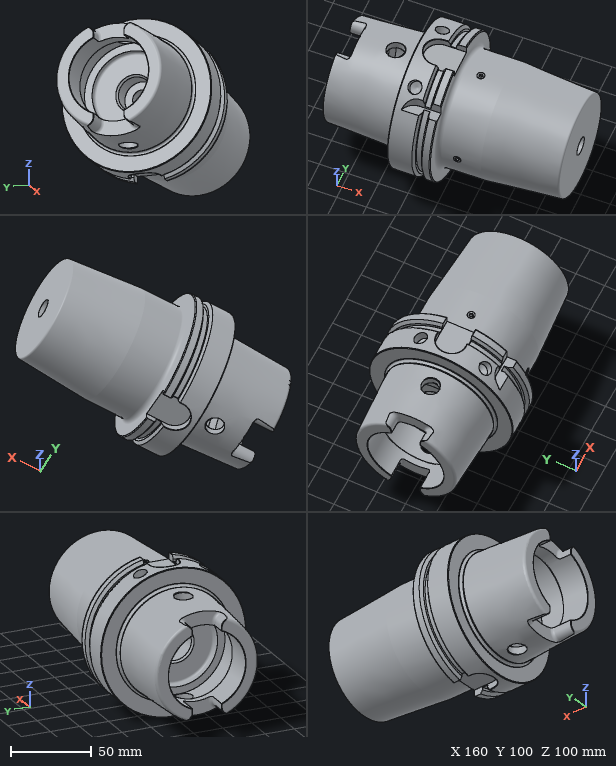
import cadquery as cq
import math

length = 160.0
shank_end_round = 2.0
relief_start = 47.7
relief_end = 49.3
flange_front = 50.0
groove_start = 68.0
groove_end = 72.0
flange_back = 78.9
taper_start = 109.0

shank_tip_radius = 35.2
shank_root_radius = 75.4 / 2
flange_radius = 100.0 / 2
groove_radius = 46.0
body_radius = 78.0 / 2
nose_tip_radius = 35.0

relief_depth = 0.24
face_recess_radius = 39.4
face_recess_depth = 0.5
face_recess_round = flange_front + face_recess_depth - relief_end
flange_front_chamfer = 0.5
flange_back_chamfer = 0.6
groove_flank_length = 1.5
groove_flank_depth = 2.4
body_round = 3.5
nose_end_round = 1.3

bore_radius = 53.0 / 2
undercut_radius = 63.0 / 2
undercut_start = 19.8
undercut_end = 41.6
undercut_angle = 60.0
bore_depth = 46.4
bore_floor_round = 1.6
tube_hole_diameter = 22.4
tube_hole_mouth_diameter = 25.0
tube_hole_depth = 12.8
through_hole_diameter = 12.0

drive_slot_width = 20.0
drive_slot_depths = {"top": 10.0, "bottom": 15.0}
drive_slot_inner_height = 16.0
drive_slot_corner_radius = 5.0
drive_slot_corner_height = 27.2
drive_slot_flare_half_width = 19.2
drive_slot_floor_round = 2.0
shank_end_chamfer = 0.3

cross_hole_x = 35.2
cross_hole_diameter = 12.0
cross_hole_chamfer = 0.4

keyway_width = 20.0
keyway_end_x = 54.4
keyway_floor = 44.0
notch_inner_y = -31.7
notch_floor = 31.7
keyway_rim_chamfer = 0.3

rim_hole_x = 59.0
rim_hole_diameter = 9.0
rim_hole_floor_radius = 44.3
rim_hole_angles = (-22.0, 32.0)
drill_point_angle = 118.0

screw_x = 92.6
screw_diameter = 5.0
screw_recess = 0.2
screw_socket_across_corners = 2.7
screw_socket_depth = 1.6
screw_angles = (0.0, 90.0)

outside = 2 * flange_radius


def turned_outside():
    """Shank, gripper flange and tapered nose as one revolved outline."""
    recess_floor = flange_front + face_recess_depth
    flank_radius = flange_radius - groove_flank_depth
    outline = (
        cq.Workplane("XY")
        .lineTo(0, shank_tip_radius)
        .lineTo(relief_start, shank_root_radius)
        .lineTo((relief_start + relief_end) / 2, shank_root_radius - relief_depth)
        .lineTo(relief_end, shank_root_radius)
        .radiusArc((recess_floor, shank_root_radius + face_recess_round), -face_recess_round)
        .lineTo(recess_floor, face_recess_radius)
        .lineTo(flange_front, face_recess_radius)
        .lineTo(flange_front, flange_radius - flange_front_chamfer)
        .lineTo(flange_front + flange_front_chamfer, flange_radius)
        .lineTo(groove_start - groove_flank_length, flange_radius)
        .lineTo(groove_start, flank_radius)
        .lineTo(groove_start, groove_radius)
        .lineTo(groove_end, groove_radius)
        .lineTo(groove_end, flank_radius)
        .lineTo(groove_end + groove_flank_length, flange_radius)
        .lineTo(flange_back - flange_back_chamfer, flange_radius)
        .lineTo(flange_back, flange_radius - flange_back_chamfer)
        .lineTo(flange_back, body_radius + body_round)
        .radiusArc((flange_back + body_round, body_radius), -body_round)
        .lineTo(taper_start, body_radius)
        .lineTo(length, nose_tip_radius)
        .lineTo(length, 0)
        .close()
    )
    body = outline.revolve(360, (0, 0, 0), (1, 0, 0))
    body = body.faces("<X").edges().fillet(shank_end_round)
    return body.faces(">X").edges().fillet(nose_end_round)


def turned_bore():
    """Hollow of the shank with its clamping undercut, tube hole and through hole."""
    cone_length = (undercut_radius - bore_radius) / math.tan(math.radians(undercut_angle))
    tube_radius = tube_hole_diameter / 2
    mouth_radius = tube_hole_mouth_diameter / 2
    hole_radius = through_hole_diameter / 2
    tube_floor = bore_depth + tube_hole_depth
    outline = (
        cq.Workplane("XY")
        .lineTo(0, bore_radius + shank_end_chamfer)
        .lineTo(shank_end_chamfer, bore_radius)
        .lineTo(undercut_start, bore_radius)
        .lineTo(undercut_start + cone_length, undercut_radius)
        .lineTo(undercut_end, undercut_radius)
        .lineTo(undercut_end, bore_radius)
        .lineTo(bore_depth - bore_floor_round, bore_radius)
        .radiusArc((bore_depth, bore_radius - bore_floor_round), bore_floor_round)
        .lineTo(bore_depth, mouth_radius)
        .lineTo(bore_depth + mouth_radius - tube_radius, tube_radius)
        .lineTo(tube_floor, tube_radius)
        .lineTo(tube_floor, hole_radius)
        .lineTo(length, hole_radius)
        .lineTo(length, 0)
        .close()
    )
    return outline.revolve(360, (0, 0, 0), (1, 0, 0))


def drive_slot(depth):
    """Slot cut into the +Z side of the shank end, with rounded key corners and floor edge."""
    half_width = drive_slot_width / 2
    round_end_y = half_width + drive_slot_corner_radius
    round_end_z = drive_slot_corner_height + drive_slot_corner_radius
    profile = (
        cq.Workplane("YZ")
        .moveTo(-half_width, drive_slot_inner_height)
        .lineTo(half_width, drive_slot_inner_height)
        .lineTo(half_width, drive_slot_corner_height)
        .radiusArc((round_end_y, round_end_z), drive_slot_corner_radius)
        .lineTo(drive_slot_flare_half_width, round_end_z)
        .lineTo(drive_slot_flare_half_width, flange_radius)
        .lineTo(-drive_slot_flare_half_width, flange_radius)
        .lineTo(-drive_slot_flare_half_width, round_end_z)
        .lineTo(-round_end_y, round_end_z)
        .radiusArc((-half_width, drive_slot_corner_height), drive_slot_corner_radius)
        .close()
    )
    slot = profile.extrude(depth).faces(">X").edges().fillet(drive_slot_floor_round)
    mouth = profile.toPending().offset2D(shank_end_chamfer).extrude(shank_end_chamfer, taper=45)
    return slot.union(mouth)


def cross_hole():
    """Hole along Z through both shank walls, with its rims broken."""
    hole = cq.Workplane("XY").center(cross_hole_x, 0).circle(cross_hole_diameter / 2)
    hole = hole.extrude(outside, both=True)
    rim_z = shank_tip_radius + (shank_root_radius - shank_tip_radius) * cross_hole_x / relief_start
    rim_radius = cross_hole_diameter / 2 + cross_hole_chamfer
    cone_height = rim_radius
    for direction in (1, -1):
        cone = cq.Solid.makeCone(
            rim_radius, 0, cone_height,
            pnt=cq.Vector(cross_hole_x, 0, direction * rim_z),
            dir=cq.Vector(0, 0, -direction),
        )
        hole = hole.union(cq.Workplane(cone))
    return hole


def keyway(center_y, floor):
    """Round-ended slot along X, open at the back of the flange and above its floor."""
    radius = keyway_width / 2
    straight = flange_back - keyway_end_x - radius
    slot = (
        cq.Workplane("XY", origin=(keyway_end_x + radius, center_y, floor))
        .moveTo(0, -radius)
        .lineTo(straight, -radius)
        .lineTo(straight, radius)
        .lineTo(0, radius)
        .threePointArc((-radius, 0), (0, -radius))
        .close()
    )
    return slot.extrude(outside)


def keyed(body):
    """Body with the keyway milled into its +Z side and the rim of the keyway broken."""
    body = body.cut(keyway(0, keyway_floor))
    half_width = keyway_width / 2
    rim_zone = cq.selectors.BoxSelector(
        (keyway_end_x, -half_width, groove_radius),
        (flange_back - flange_back_chamfer, half_width, flange_radius),
        boundingbox=False,
    )
    on_rim = math.sqrt(flange_radius**2 - half_width**2)
    rim = [edge for edge in body.edges(rim_zone).vals() if edge.BoundingBox().zmin > on_rim - 0.02]
    return body.newObject(rim).chamfer(keyway_rim_chamfer)


def rim_hole(angle):
    """Drilled hole with a conical bottom, pointing at the axis."""
    radius = rim_hole_diameter / 2
    point_height = radius / math.tan(math.radians(drill_point_angle / 2))
    outline = (
        cq.Workplane("XZ", origin=(rim_hole_x, 0, 0))
        .moveTo(0, rim_hole_floor_radius - point_height)
        .lineTo(radius, rim_hole_floor_radius)
        .lineTo(radius, outside)
        .lineTo(0, outside)
        .close()
    )
    hole = outline.revolve(360, (0, 0, 0), (0, 1, 0))
    return hole.rotate((0, 0, 0), (1, 0, 0), angle)


def screw_recess_cut(angle):
    """Shallow round recess with a hexagon socket in its floor."""
    recess = cq.Workplane("XY", origin=(screw_x, 0, body_radius - screw_recess))
    socket = recess.polygon(6, screw_socket_across_corners).extrude(-screw_socket_depth)
    cut = recess.circle(screw_diameter / 2).extrude(outside).union(socket)
    return cut.rotate((0, 0, 0), (1, 0, 0), angle)


keyed_outside = keyed(turned_outside())
half_turn = ((0, 0, 0), (1, 0, 0), 180)
result = keyed(keyed_outside.rotate(*half_turn)).rotate(*half_turn)
result = result.cut(turned_bore())

result = result.cut(drive_slot(drive_slot_depths["top"]))
result = result.cut(drive_slot(drive_slot_depths["bottom"]).rotate(*half_turn))
result = result.cut(cross_hole())

result = result.cut(keyway(notch_inner_y - keyway_width / 2, notch_floor))

for hole_angle in rim_hole_angles:
    result = result.cut(rim_hole(hole_angle))

for screw_angle in screw_angles:
    result = result.cut(screw_recess_cut(screw_angle))